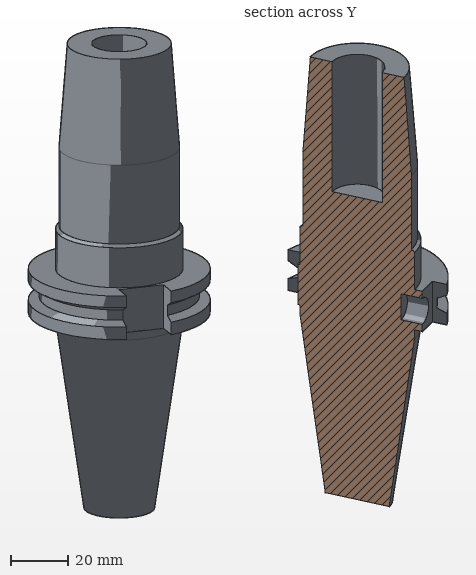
import cadquery as cq

total_length = 169.8
shank_tip_radius = 12.4
shoulder_radius = 22.3
barrel_radius = 21.0
nose_tip_radius = 18.2

taper_top = 68.3
flange_bottom = 71.5
flange_thickness = 16.0
flange_top = flange_bottom + flange_thickness
shoulder_top = 103.1
shoulder_chamfer_height = 1.0
nose_start = 132.0

flange_radius = 31.8
groove_radius = 28.0
lower_lip_height = 4.6
groove_floor_bottom = 6.0
groove_floor_top = 9.7
upper_lip_bottom = 11.7

slot_width = 16.5
deep_slot_floor = 23.0
shallow_slot_floor = 25.1
chip_hole_diameter = 10.0
chip_hole_depth = 8.2
chip_hole_height = flange_bottom + flange_thickness / 2
bore_diameter = 19.2
bore_depth = 51.0


def turned_body():
    """Shank taper, flange with groove, shoulder, barrel and nose in one revolve."""
    profile = [
        (0, 0),
        (shank_tip_radius, 0),
        (shoulder_radius, taper_top),
        (shoulder_radius, flange_bottom),
        (flange_radius, flange_bottom),
        (flange_radius, flange_bottom + lower_lip_height),
        (groove_radius, flange_bottom + groove_floor_bottom),
        (groove_radius, flange_bottom + groove_floor_top),
        (flange_radius, flange_bottom + upper_lip_bottom),
        (flange_radius, flange_top),
        (shoulder_radius, flange_top),
        (shoulder_radius, shoulder_top - shoulder_chamfer_height),
        (barrel_radius, shoulder_top),
        (barrel_radius, nose_start),
        (nose_tip_radius, total_length),
        (0, total_length),
    ]
    return cq.Workplane("XZ").polyline(profile).close().revolve(360, (0, 0), (0, 1))


def drive_slot(side, floor_distance):
    """Slot cutter on the given side of X (-1 or +1), its floor set by distance from the axis."""
    slot_length = flange_radius - floor_distance
    slot_center_x = side * (floor_distance + slot_length / 2)
    return (
        cq.Workplane("XY", origin=(slot_center_x, 0, flange_bottom))
        .rect(slot_length, slot_width)
        .extrude(flange_thickness)
    )


def chip_hole():
    """Blind radial hole in the floor of the -X drive slot."""
    return (
        cq.Workplane("YZ", origin=(-shallow_slot_floor, 0, chip_hole_height))
        .circle(chip_hole_diameter / 2)
        .extrude(chip_hole_depth)
    )


def tool_bore():
    """Blind axial bore in the nose."""
    return (
        cq.Workplane("XY", origin=(0, 0, total_length))
        .circle(bore_diameter / 2)
        .extrude(-bore_depth)
    )


result = turned_body()
result = result.cut(drive_slot(-1, shallow_slot_floor)).cut(drive_slot(1, deep_slot_floor))
result = result.cut(chip_hole()).cut(tool_bore())